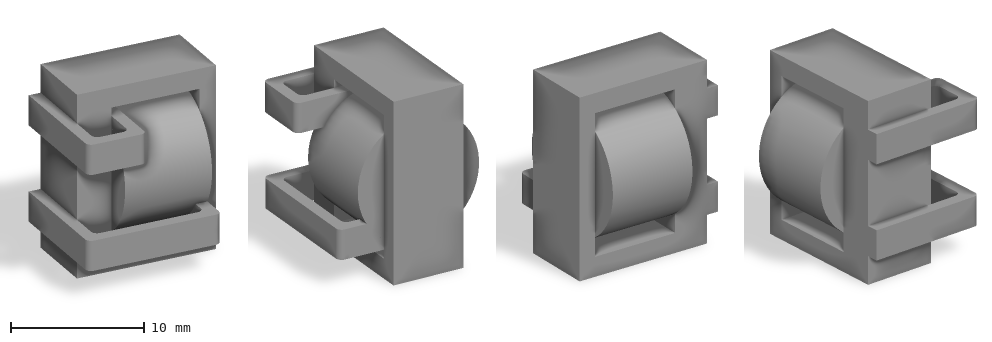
import cadquery as cq


core_width = 6.1
core_depth = 11.67
core_height = 15.24
front_wall = 2.91
back_wall = 1.4
window_height = 11.92

coil_radius = 5.3
coil_length = 7.3
coil_front = front_wall
coil_back = coil_front + coil_length

strip_thickness = 1.0
strip_height = 2.5
bend_radius = 0.5
lead_outer_z = 5.25
lead_center_z = lead_outer_z - strip_height / 2
upper_lead_reach = 6.95
lower_lead_reach = 6.92


def make_core():
    """Rectangular frame with a window running through it along X."""
    window_depth = core_depth - front_wall - back_wall
    block = cq.Workplane("XY").box(core_width, core_depth, core_height, centered=(True, False, True))
    window = (
        cq.Workplane("XY")
        .box(core_width, window_depth, window_height, centered=(True, False, True))
        .translate((0, front_wall, 0))
    )
    return block.cut(window)


def make_coil():
    """Plain cylinder lying along Y."""
    coil = cq.Workplane("XZ").circle(coil_radius).extrude(-coil_length)
    return coil.translate((0, coil_front, 0))


def make_lead(center_z, reach, arm_back, coil):
    """U-shaped strip: one arm on the core's front face, the other ending on the coil's surface."""
    front = -strip_thickness
    inner_reach = reach - strip_thickness
    arm_front = arm_back - strip_thickness
    outline = [
        (-core_width / 2, front),
        (reach, front),
        (reach, arm_back),
        (0, arm_back),
        (0, arm_front),
        (inner_reach, arm_front),
        (inner_reach, 0),
        (-core_width / 2, 0),
    ]
    strip = cq.Workplane("XY").polyline(outline).close().extrude(strip_height)
    outer_bends = strip.edges("|Z and >X")
    inner_bends = strip.edges(
        cq.selectors.BoxSelector(
            (inner_reach - bend_radius, front / 2, 0),
            (inner_reach + bend_radius, arm_back - strip_thickness / 2, strip_height),
        )
    ).edges("|Z")
    strip = outer_bends.add(inner_bends).fillet(bend_radius)
    strip = strip.translate((0, 0, center_z - strip_height / 2))
    return strip.cut(coil).solids().val()


core = make_core()
coil = make_coil()

lead_layouts = [
    (lead_center_z, upper_lead_reach, coil_front + strip_thickness),
    (-lead_center_z, lower_lead_reach, coil_back),
]
leads = [make_lead(center_z, reach, arm_back, coil) for center_z, reach, arm_back in lead_layouts]

result = cq.Compound.makeCompound([core.val(), coil.val(), *leads])